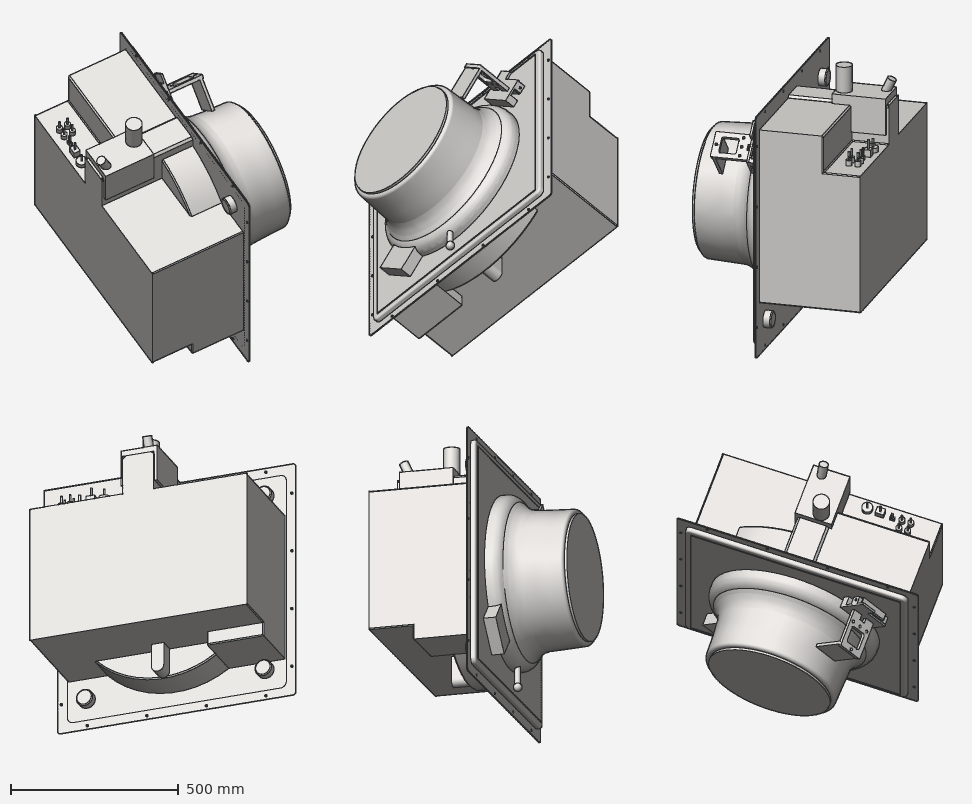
import cadquery as cq
import math


OVERALL_HEIGHT = 824.0

PLATE_SIDE = 762.0
PLATE_THICK = 3.0
PLATE_CORNER = 10.0
SCREW_RADIUS = 3.0
SCREW_INSET = 12.0
SCREW_PITCH = 190.0
SCREWS_PER_SIDE = 4

PAN_SIDE = 700.5
PAN_TOP = 19.0
PAN_CORNER = 19.0
PAN_EDGE = 7.0
PAD_SIDE = 662.5
PAD_THICK = 2.5

KNOB_OFFSET = 286.0
KNOB_RADIUS = 26.0
KNOB_LENGTH = 25.0
KNOB_CHAMFER = 3.0
KNOB_SIGNS = [(1, 1), (1, -1), (-1, -1)]

DOME_TOP = 255.5
DOME_BASE_RADIUS = 266.0
DOME_RIM_RADIUS = 206.0
DOME_RIM_Y = 248.0
DOME_LIP_RADIUS = 192.0
DOME_RIM_ROUND = 10.0
DOME_WAIST_RADIUS = 212.0
DOME_WAIST_Y = 121.0
DOME_FLARE_START = (231.0, 82.0)
DOME_FLARE_END = (241.5, 72.0)
DOME_SHOULDER_Y = 35.5

BASE_HALF_WIDTH = 63.0
BASE_IN = 280.0
BASE_OUT = 354.0
BASE_TOP = 56.0
BASE_SHEET = 7.0
BASE_WALL = 23.0
FRONT_WALL = 7.0
EAR_OUT = 381.5
EAR_START = 11.5
TAB_IN = 326.0
TAB_OUT = 353.0
TAB_BOTTOM = 25.5
TAB_THICK = 6.0
TAB_HOLE_RADIUS = 3.0
TAB_HOLE_Y = 35.5
LATCH_HALF_WIDTH = 49.5
LATCH_IN = 325.5
LATCH_OUT = 356.0
LATCH_CHAMFER = 3.0
LATCH_TOP = 45.0
BRACKET_ANGLE = -45
UPRIGHT_HALF_WIDTH = 42.0
UPRIGHT_OUT = 324.0
UPRIGHT_THICK = 11.5
UPRIGHT_TOP = 180.0
UPRIGHT_CORNER = 4.0
WINDOW_WIDTH = 53.0
WINDOW_BOTTOM = 103.0
WINDOW_TOP = 157.0
WINDOW_CORNER = 7.0
UPRIGHT_HOLE_RADIUS = 4.0
UPPER_HOLE_Y = 170.0
LOWER_HOLE_Y = 91.0
LOWER_HOLE_PITCH = 30.0
NOTCH_WIDTH = 20.0
NOTCH_TOP = 72.5
TONGUE_IN = 210.0
TONGUE_BOTTOM = 165.0
TONGUE_TOP = 175.0
HINGE_IN = 231.0
HINGE_OUT = 332.0
HINGE_TOP = 60.0

LEVER_Y = 45.0
LEVER_RADIUS = 9.0
LEVER_START = -247.0
BALL_RADIUS = 13.0
BALL_Z = -324.0

HOUSING_WIDTH = 695.5
HOUSING_HEIGHT = 432.0
HOUSING_DEPTH = 314.0
COVER_THICK = 3.0
SHEET_BEND = 3.0
UPPER_TOP = 331.0
UPPER_DEPTH = 199.0
UPPER_BEND = 5.0
INNER_BEND = 3.0
TUNNEL_WIDTH = 99.0
TUNNEL_TOP = 339.5
TUNNEL_BEND = 7.5
DRUM_RADIUS = 308.0
DRUM_DEPTH = 106.0
DRUM_EDGE = 4.0
LOWER_LEFT = 167.0
LOWER_BOTTOM = -259.0
LOWER_DEPTH = 177.0
BAR_HALF_WIDTH = 20.0
BAR_BOTTOM = -306.5
BAR_DEPTH = 155.0
BAR_CORNER = 18.0

JUNCTION_WIDTH = 115.0
JUNCTION_BACK = -139.0
JUNCTION_FRONT = -306.0
JUNCTION_BOTTOM = 247.0
JUNCTION_TOP = 362.0
PIPE_RADIUS = 25.0
PIPE_X = -16.5
PIPE_Y = -165.0
PIPE_TOP = OVERALL_HEIGHT - PLATE_SIDE / 2
SPOUT_RADIUS = 14.0
SPOUT_X = 24.0
SPOUT_TOP_Y = -302.0
SPOUT_TOP_Z = 399.0
SPOUT_TILT = 25
SPOUT_LENGTH = 53.5

JACK_RADIUS = 9.0
JACK_HEIGHT = 16.5
JACK_PIN = 2.5
JACK_TOP = 42.0
JACK_X = [-259.0, -231.0]
JACK_Y = [-252.0, -280.0]
DATA_X = -201.0
DATA_Y = -278.5
DATA_WIDTH = 15.0
DATA_DEPTH = 9.0
DATA_HEIGHT = 11.5
DATA_PIN_WIDTH = 7.0
DATA_PIN_DEPTH = 4.0
DATA_TOP = 37.0
SQUARE_X = -161.5
SQUARE_Y = -283.5
SQUARE_WIDTH = 26.0
SQUARE_DEPTH = 21.0
SQUARE_HEIGHT = 22.0
SQUARE_PIN = 5.0
SQUARE_TOP = 50.0
ROUND_X = -119.5
ROUND_Y = -285.0
ROUND_RADIUS = 16.5
ROUND_HEIGHT = 14.0
ROUND_PIN = 2.5
ROUND_TOP = 39.5


def block(x0, x1, y0, y1, z0, z1):
    """Box given by its limits along X, Y and Z."""
    return cq.Workplane("XY").box(x1 - x0, y1 - y0, z1 - z0, centered=False).translate((x0, y0, z0))


def rod_y(x, z, radius, y0, y1):
    """Round rod along Y."""
    return cq.Workplane("XZ", origin=(x, y0, z)).circle(radius).extrude(y0 - y1)


def rod_z(x, y, radius, z0, z1):
    """Round rod along Z."""
    return cq.Workplane("XY", origin=(x, y, z0)).circle(radius).extrude(z1 - z0)


def make_plate():
    half = PLATE_SIDE / 2
    plate = block(-half, half, 0, PLATE_THICK, -half, half).edges("|Y").fillet(PLATE_CORNER)
    edge = half - SCREW_INSET
    steps = [(i - (SCREWS_PER_SIDE - 1) / 2) * SCREW_PITCH for i in range(SCREWS_PER_SIDE)]
    for step in steps:
        for side in (-edge, edge):
            plate = plate.cut(rod_y(step, side, SCREW_RADIUS, 0, PLATE_THICK))
            plate = plate.cut(rod_y(side, step, SCREW_RADIUS, 0, PLATE_THICK))
    return plate


def make_pan():
    half = PAN_SIDE / 2
    pan = block(-half, half, PLATE_THICK, PAN_TOP, -half, half)
    pan = pan.edges("|Y").fillet(PAN_CORNER).faces(">Y").edges().fillet(PAN_EDGE)
    pad_half = PAD_SIDE / 2
    return pan.union(block(-pad_half, pad_half, PAN_TOP, PAN_TOP + PAD_THICK, -pad_half, pad_half))


def make_knob(x, z):
    knob = rod_y(x, z, KNOB_RADIUS, -KNOB_LENGTH, 0)
    return knob.faces("<Y").edges().chamfer(KNOB_CHAMFER)


def make_dome():
    round_mid = DOME_RIM_ROUND * (1 - math.sqrt(0.5))
    profile = (
        cq.Workplane("XY")
        .moveTo(0, PLATE_THICK)
        .lineTo(DOME_BASE_RADIUS, PLATE_THICK)
        .lineTo(DOME_BASE_RADIUS, DOME_SHOULDER_Y)
        .tangentArcPoint(DOME_FLARE_END, relative=False)
        .lineTo(*DOME_FLARE_START)
        .tangentArcPoint((DOME_WAIST_RADIUS, DOME_WAIST_Y), relative=False)
        .lineTo(DOME_RIM_RADIUS, DOME_RIM_Y - DOME_RIM_ROUND)
        .threePointArc(
            (DOME_RIM_RADIUS - round_mid, DOME_RIM_Y - round_mid),
            (DOME_RIM_RADIUS - DOME_RIM_ROUND, DOME_RIM_Y),
        )
        .lineTo(DOME_LIP_RADIUS, DOME_RIM_Y)
        .lineTo(DOME_LIP_RADIUS, DOME_TOP)
        .lineTo(0, DOME_TOP)
        .close()
    )
    return profile.revolve(360, (0, 0, 0), (0, 1, 0))


def make_bracket_base():
    half = BASE_HALF_WIDTH
    sheet_bottom = BASE_TOP - BASE_SHEET
    base = block(-half, half, sheet_bottom, BASE_TOP, BASE_IN, BASE_OUT)
    ear = block(EAR_START, half, sheet_bottom, BASE_TOP, BASE_OUT, EAR_OUT)
    wall = block(-half, half, PLATE_THICK, BASE_TOP, BASE_IN, BASE_IN + BASE_WALL)
    front_wall = block(-half, half, TAB_BOTTOM, BASE_TOP, TAB_OUT - FRONT_WALL, TAB_OUT)
    latch = block(-LATCH_HALF_WIDTH, LATCH_HALF_WIDTH, PLATE_THICK, LATCH_TOP, LATCH_IN, LATCH_OUT)
    latch = latch.edges(">Y and >Z").chamfer(LATCH_CHAMFER)
    base = base.union(ear).union(wall).union(front_wall).union(latch)
    for x0 in (-half, half - TAB_THICK):
        tab = block(x0, x0 + TAB_THICK, TAB_BOTTOM, BASE_TOP, TAB_IN, TAB_OUT)
        hole = cq.Workplane("YZ", origin=(x0, TAB_HOLE_Y, (TAB_IN + TAB_OUT) / 2))
        base = base.union(tab.cut(hole.circle(TAB_HOLE_RADIUS).extrude(TAB_THICK)))
    return base


def make_bracket_upright():
    half = UPRIGHT_HALF_WIDTH
    inner = UPRIGHT_OUT - UPRIGHT_THICK
    upright = block(-half, half, BASE_TOP, UPRIGHT_TOP, inner, UPRIGHT_OUT)
    upright = upright.edges("|Z and >Y").fillet(UPRIGHT_CORNER)
    window = block(-WINDOW_WIDTH / 2, WINDOW_WIDTH / 2, WINDOW_BOTTOM, WINDOW_TOP, inner, UPRIGHT_OUT)
    upright = upright.cut(window.edges("|Z").fillet(WINDOW_CORNER))
    upright = upright.cut(block(-NOTCH_WIDTH / 2, NOTCH_WIDTH / 2, BASE_TOP, NOTCH_TOP, inner, UPRIGHT_OUT))
    holes = [(0, UPPER_HOLE_Y)]
    holes += [(i * LOWER_HOLE_PITCH, LOWER_HOLE_Y) for i in (-1, 0, 1)]
    for x, y in holes:
        upright = upright.cut(rod_z(x, y, UPRIGHT_HOLE_RADIUS, inner, UPRIGHT_OUT))
    tongue = block(-half, half, TONGUE_BOTTOM, TONGUE_TOP, TONGUE_IN, inner)
    return upright.union(tongue)


def make_hinge_block():
    half = BASE_HALF_WIDTH
    return block(-half, half, PLATE_THICK, HINGE_TOP, -HINGE_OUT, -HINGE_IN)


def make_lever():
    rod = rod_z(0, LEVER_Y, LEVER_RADIUS, BALL_Z, LEVER_START)
    return rod.union(cq.Workplane("XY").sphere(BALL_RADIUS).translate((0, LEVER_Y, BALL_Z)))


def make_panel():
    fittings = make_bracket_base().union(make_bracket_upright()).union(make_hinge_block())
    fittings = fittings.rotate((0, 0, 0), (0, 1, 0), BRACKET_ANGLE)
    panel = make_plate().union(make_pan()).union(make_dome()).union(fittings).union(make_lever())
    for x_sign, z_sign in KNOB_SIGNS:
        panel = panel.union(make_knob(x_sign * KNOB_OFFSET, z_sign * KNOB_OFFSET))
    return panel


HALF_WIDTH = HOUSING_WIDTH / 2
FLOOR = HOUSING_HEIGHT / 2
TUNNEL_HALF = TUNNEL_WIDTH / 2
COVER_BACK = COVER_THICK - HOUSING_DEPTH


def make_case():
    main = block(-HALF_WIDTH, HALF_WIDTH, COVER_BACK, 0, -FLOOR, FLOOR).edges("|Y").chamfer(SHEET_BEND)
    upper = block(-HALF_WIDTH, 0, -UPPER_DEPTH, 0, 0, UPPER_TOP)
    upper = upper.edges("<Y and <X").chamfer(SHEET_BEND)
    upper = upper.edges("<Y and >Z").chamfer(UPPER_BEND)
    tunnel = block(-TUNNEL_HALF, TUNNEL_HALF, COVER_BACK, 0, 0, TUNNEL_TOP)
    tunnel = tunnel.edges("|Y and >Z").chamfer(TUNNEL_BEND)
    lower = block(LOWER_LEFT, HALF_WIDTH, -LOWER_DEPTH, 0, LOWER_BOTTOM, 0)
    lower = lower.faces("<Y").edges("<Z or <X or >X").chamfer(SHEET_BEND)
    return main.union(upper).union(tunnel).union(lower)


def corner_strip(plane, x, y, start, length, x_size, y_size):
    """Triangular strip that eases an inner corner; the sizes are signed legs in the plane."""
    strip = cq.Workplane(plane).workplane(offset=start).moveTo(x, y)
    return strip.line(x_size, 0).line(-x_size, y_size).close().extrude(length)


def make_inner_bends():
    left_end = SHEET_BEND - HALF_WIDTH
    recess_back = corner_strip("YZ", -UPPER_DEPTH, FLOOR, left_end, -left_end, -INNER_BEND, INNER_BEND)
    recess_side = corner_strip("XZ", -TUNNEL_HALF, FLOOR, 0, -COVER_BACK, -INNER_BEND, INNER_BEND)
    return recess_back.union(recess_side)


def make_cover():
    cover = block(-HALF_WIDTH, HALF_WIDTH, -HOUSING_DEPTH, COVER_BACK, -FLOOR, FLOOR)
    return cover.union(block(-TUNNEL_HALF, TUNNEL_HALF, -HOUSING_DEPTH, COVER_BACK, 0, TUNNEL_TOP))


def make_drum():
    drum = rod_y(0, 0, DRUM_RADIUS, -DRUM_DEPTH, 0).faces("<Y").edges().chamfer(DRUM_EDGE)
    bar = block(-BAR_HALF_WIDTH, BAR_HALF_WIDTH, -BAR_DEPTH, 0, BAR_BOTTOM, 0)
    return drum.union(bar.edges("|Y and <Z").fillet(BAR_CORNER))


def make_junction():
    half = JUNCTION_WIDTH / 2
    junction = block(-half, half, JUNCTION_FRONT, JUNCTION_BACK, JUNCTION_BOTTOM, JUNCTION_TOP)
    pipe = rod_z(PIPE_X, PIPE_Y, PIPE_RADIUS, JUNCTION_TOP, PIPE_TOP)
    spout = rod_z(0, 0, SPOUT_RADIUS, -SPOUT_LENGTH, 0).rotate((0, 0, 0), (1, 0, 0), SPOUT_TILT)
    spout = spout.translate((SPOUT_X, SPOUT_TOP_Y, SPOUT_TOP_Z))
    return junction.union(pipe).union(spout)


def round_plug(x, y, radius, height, pin_radius, top):
    body = rod_z(x, y, radius, FLOOR, FLOOR + height)
    return body.union(rod_z(x, y, pin_radius, FLOOR, FLOOR + top))


def box_plug(x, y, size, height, pin_size, top):
    body = cq.Workplane("XY", origin=(x, y, FLOOR)).rect(*size).extrude(height)
    return body.union(cq.Workplane("XY", origin=(x, y, FLOOR)).rect(*pin_size).extrude(top))


def make_plugs():
    plugs = [round_plug(x, y, JACK_RADIUS, JACK_HEIGHT, JACK_PIN, JACK_TOP) for x in JACK_X for y in JACK_Y]
    data_size = (DATA_WIDTH, DATA_DEPTH)
    data_pin = (DATA_PIN_WIDTH, DATA_PIN_DEPTH)
    plugs.append(box_plug(DATA_X, DATA_Y, data_size, DATA_HEIGHT, data_pin, DATA_TOP))
    square_size = (SQUARE_WIDTH, SQUARE_DEPTH)
    square_pin = (SQUARE_PIN, SQUARE_PIN)
    plugs.append(box_plug(SQUARE_X, SQUARE_Y, square_size, SQUARE_HEIGHT, square_pin, SQUARE_TOP))
    plugs.append(round_plug(ROUND_X, ROUND_Y, ROUND_RADIUS, ROUND_HEIGHT, ROUND_PIN, ROUND_TOP))
    return plugs


def make_housing():
    housing = make_case().union(make_inner_bends()).union(make_cover())
    housing = housing.union(make_drum()).union(make_junction())
    for plug in make_plugs():
        housing = housing.union(plug)
    return housing


panel = make_panel()
housing = make_housing()
result = cq.Compound.makeCompound([panel.solids().val(), housing.solids().val()])